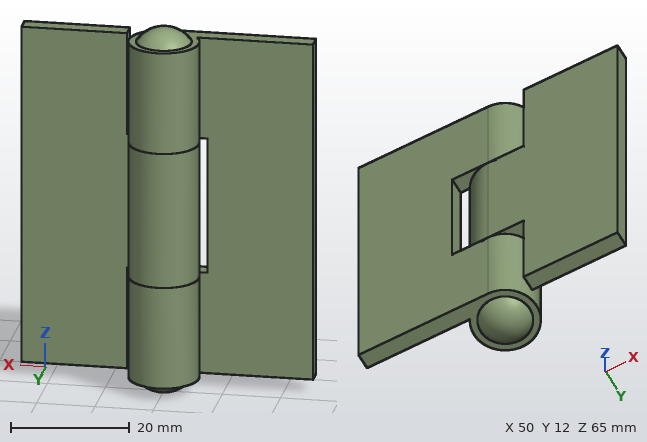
import cadquery as cq

TOTAL_HEIGHT = 65.0
HINGE_WIDTH = 50.0
LEAF_HEIGHT = 60.0
LEAF_THICKNESS = 3.0
KNUCKLE_DIAMETER = 12.0
PIN_DIAMETER = 9.4
MIDDLE_KNUCKLE_HEIGHT = 24.0
NOTCH_REACH = 6.9

KNUCKLE_RADIUS = KNUCKLE_DIAMETER / 2
PIN_RADIUS = PIN_DIAMETER / 2
LEAF_REACH = HINGE_WIDTH / 2
DOME_HEIGHT = (TOTAL_HEIGHT - LEAF_HEIGHT) / 2
END_KNUCKLE_HEIGHT = (LEAF_HEIGHT - MIDDLE_KNUCKLE_HEIGHT) / 2
LEAF_BOTTOM = -LEAF_HEIGHT / 2
MIDDLE_BOTTOM = -MIDDLE_KNUCKLE_HEIGHT / 2
MIDDLE_TOP = MIDDLE_KNUCKLE_HEIGHT / 2

END_KNUCKLES = [(LEAF_BOTTOM, END_KNUCKLE_HEIGHT), (MIDDLE_TOP, END_KNUCKLE_HEIGHT)]
MIDDLE_KNUCKLES = [(MIDDLE_BOTTOM, MIDDLE_KNUCKLE_HEIGHT)]


def make_plate(side, inner_reach, bottom, height):
    """Flat plate from inner_reach to the outer edge; side is -1 for -X and 1 for +X."""
    width = LEAF_REACH - inner_reach
    centre_x = side * (inner_reach + LEAF_REACH) / 2
    centre_y = -KNUCKLE_RADIUS + LEAF_THICKNESS / 2
    return (
        cq.Workplane("XY", origin=(centre_x, centre_y, bottom))
        .rect(width, LEAF_THICKNESS)
        .extrude(height)
    )


def make_cylinder(radius, bottom, height):
    """Cylinder on the pin axis."""
    return cq.Workplane("XY").workplane(offset=bottom).circle(radius).extrude(height)


def make_leaf(side, knuckles):
    """Leaf whose plate runs tangent into each (bottom, height) knuckle."""
    leaf = make_plate(side, NOTCH_REACH, LEAF_BOTTOM, LEAF_HEIGHT)
    for bottom, height in knuckles:
        leaf = leaf.union(make_plate(side, 0, bottom, height))
        leaf = leaf.union(make_cylinder(KNUCKLE_RADIUS, bottom, height))
    bore = make_cylinder(PIN_RADIUS, LEAF_BOTTOM, LEAF_HEIGHT)
    return leaf.cut(bore)


def make_pin():
    """Pin through all knuckles with a shallow spherical dome on each end."""
    half_height = TOTAL_HEIGHT / 2
    shank_end = LEAF_HEIGHT / 2
    dome_radius = (PIN_RADIUS**2 + DOME_HEIGHT**2) / (2 * DOME_HEIGHT)
    dome_centre = half_height - dome_radius
    mid_z = half_height - DOME_HEIGHT / 2
    mid_x = (dome_radius**2 - (mid_z - dome_centre) ** 2) ** 0.5
    return (
        cq.Workplane("XZ")
        .moveTo(0, -half_height)
        .threePointArc((mid_x, -mid_z), (PIN_RADIUS, -shank_end))
        .lineTo(PIN_RADIUS, shank_end)
        .threePointArc((mid_x, mid_z), (0, half_height))
        .close()
        .revolve(360, (0, 0), (0, 1))
    )


left_leaf = make_leaf(-1, END_KNUCKLES)
right_leaf = make_leaf(1, MIDDLE_KNUCKLES)
pin = make_pin()

result = cq.Compound.makeCompound([left_leaf.val(), right_leaf.val(), pin.val()])